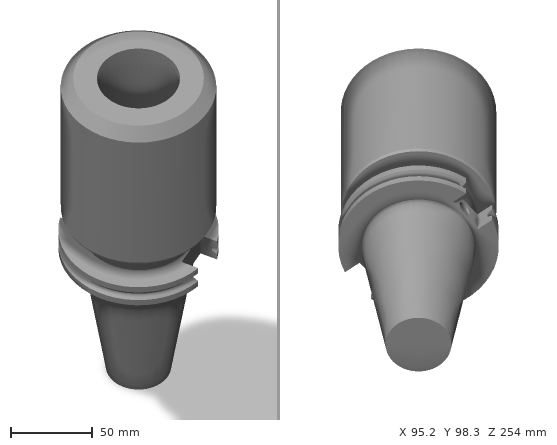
import cadquery as cq
import math

total_length = 254.0
body_radius = 95.2 / 2
body_bottom = 139.0
top_chamfer_width = 7.5
top_chamfer_height = 7.0
bottom_chamfer_width = 0.8
bottom_chamfer_height = 1.8
bore_radius = 25.5
bore_depth = 81.3

neck_radius = 35.0
neck_shoulder = 1.3
neck_foot = 0.5

gauge_height = 101.5
gauge_radius = 34.92
taper_ratio = 7 / 24
tip_radius = gauge_radius - gauge_height * taper_ratio / 2

flange_radius = 98.3 / 2
flange_bottom = 104.6
flange_thickness = 16.0
flange_top = flange_bottom + flange_thickness
rim_thickness = 4.5
groove_depth = 3.5
groove_flank_angle = 30.0
groove_flank_height = groove_depth * math.tan(math.radians(groove_flank_angle))
groove_bottom = flange_bottom + rim_thickness
groove_top = flange_top - rim_thickness
groove_radius = flange_radius - groove_depth

slot_width = 25.5
slot_floor = 36.0
drive_hole_diameter = 9.7
drive_hole_depth = 3.8


def make_turned_blank():
    """Revolve the half section, given as (radius, height), about Z."""
    section = [
        (0, 0),
        (tip_radius, 0),
        (gauge_radius, gauge_height),
        (gauge_radius, flange_bottom),
        (flange_radius, flange_bottom),
        (flange_radius, groove_bottom),
        (groove_radius, groove_bottom + groove_flank_height),
        (groove_radius, groove_top - groove_flank_height),
        (flange_radius, groove_top),
        (flange_radius, flange_top),
        (neck_radius + neck_foot, flange_top),
        (neck_radius, flange_top + neck_foot),
        (neck_radius, body_bottom - neck_shoulder),
        (neck_radius + neck_shoulder, body_bottom),
        (body_radius - bottom_chamfer_width, body_bottom),
        (body_radius, body_bottom + bottom_chamfer_height),
        (body_radius, total_length - top_chamfer_height),
        (body_radius - top_chamfer_width, total_length),
        (0, total_length),
    ]
    return cq.Workplane("XZ").polyline(section).close().revolve(360, (0, 0), (0, 1))


def make_bore():
    return (
        cq.Workplane("XY")
        .workplane(offset=total_length - bore_depth)
        .circle(bore_radius)
        .extrude(bore_depth)
    )


def make_drive_slot(side):
    """Cutter for the slot on the +X (side = 1) or -X (side = -1) edge of the flange."""
    length = flange_radius - slot_floor
    return (
        cq.Workplane("XY")
        .workplane(offset=flange_bottom)
        .center(side * (slot_floor + length / 2), 0)
        .rect(length, slot_width)
        .extrude(flange_thickness)
    )


def make_drive_hole():
    return (
        cq.Workplane("YZ")
        .workplane(offset=-slot_floor)
        .center(0, flange_bottom + flange_thickness / 2)
        .circle(drive_hole_diameter / 2)
        .extrude(drive_hole_depth)
    )


result = make_turned_blank().cut(make_bore())
for side in (-1, 1):
    result = result.cut(make_drive_slot(side))
result = result.cut(make_drive_hole())